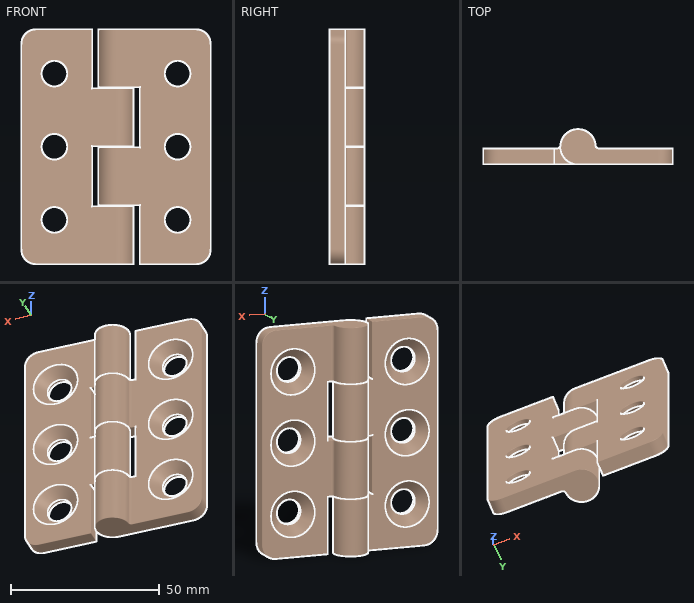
import cadquery as cq
height = 79.4
width = 64.0
knuckle_diameter = 12.0
leaf_thickness = 5.5

knuckle_count = 4
knuckle_gap = 0.3
knuckle_length = (height - (knuckle_count - 1) * knuckle_gap) / knuckle_count
knuckle_pitch = knuckle_length + knuckle_gap
knuckle_radius = knuckle_diameter / 2
root_fillet = 1.0

half_width = width / 2
corner_radius = 5.0
edge_round = 0.2
notch_edge = 8.0

hole_diameter = 8.6
hole_offset = 20.8
hole_pitch = 24.7
hole_rows = 3
countersink_diameter = 15.95
countersink_angle = 90

pin_diameter = 6.0
pin_end_cover = 5.0
pin_length = height - 2 * pin_end_cover

axis_y = knuckle_radius


def make_plate():
    """Right-hand plate, from the notch floor to the rounded outer edge."""
    plate = cq.Workplane("XY").box(
        half_width - notch_edge, leaf_thickness, height, centered=False
    )
    plate = plate.translate((notch_edge, 0, 0))
    return plate.edges("|Y and >X").fillet(corner_radius)


def make_knuckle(index):
    """Knuckle with the web that joins it to the right-hand plate."""
    bottom = index * knuckle_pitch
    barrel = cq.Workplane("XY").center(0, axis_y).circle(knuckle_radius).extrude(knuckle_length)
    web = cq.Workplane("XY").box(notch_edge, leaf_thickness, knuckle_length, centered=False)
    knuckle = barrel.union(web)
    root = cq.selectors.BoxSelector(
        (knuckle_radius - root_fillet, leaf_thickness - root_fillet, 0),
        (knuckle_radius + root_fillet, leaf_thickness + root_fillet, knuckle_length),
    )
    return knuckle.edges("|Z").edges(root).fillet(root_fillet).translate((0, 0, bottom))


def make_pin():
    """Plain round pin along the hinge axis."""
    pin = cq.Workplane("XY").center(0, axis_y).circle(pin_diameter / 2).extrude(pin_length)
    return pin.translate((0, 0, pin_end_cover))


def round_outer_edges(leaf):
    """Round every sharp outside edge; tangent lines and inside corners stay as they are."""
    outline_edges = leaf.edges("not(|Y or |Z)")
    plate_zone = cq.selectors.BoxSelector(
        (notch_edge - edge_round, -edge_round, -edge_round),
        (half_width + edge_round, leaf_thickness + edge_round, height + edge_round),
    )
    upright_edges = leaf.edges("|Z").edges(plate_zone)
    notch_corner = leaf.edges("|Y and <Z").edges("<X")
    return outline_edges.add(upright_edges).add(notch_corner).fillet(edge_round)


def cut_mounting_holes(leaf):
    """Column of through holes, centred on the height of the leaf and countersunk from the back."""
    back_face = cq.Plane(
        origin=(hole_offset, leaf_thickness, height / 2), xDir=(-1, 0, 0), normal=(0, 1, 0)
    )
    drilled = (
        leaf.copyWorkplane(cq.Workplane(back_face))
        .rarray(0.8, hole_pitch, 1, hole_rows)
        .cskHole(hole_diameter, countersink_diameter, countersink_angle)
    )
    hole_zone = cq.selectors.BoxSelector(
        (hole_offset - hole_diameter / 2, -edge_round, 0),
        (hole_offset + hole_diameter / 2, edge_round, height),
    )
    return drilled.faces("<Y").edges("%CIRCLE").edges(hole_zone).fillet(edge_round)


def make_right_leaf():
    """Leaf on the +X side, carrying every second knuckle up to the top one."""
    leaf = make_plate()
    for index in range(1, knuckle_count, 2):
        leaf = leaf.union(make_knuckle(index))
    leaf = round_outer_edges(leaf)
    leaf = cut_mounting_holes(leaf)
    return leaf.cut(make_pin())


def make_left_leaf():
    """The same leaf turned half a turn about the Y direction, so the knuckles interleave."""
    turn_start = (0, 0, height / 2)
    turn_end = (0, 1, height / 2)
    return make_right_leaf().rotate(turn_start, turn_end, 180)


right_leaf = make_right_leaf()
left_leaf = make_left_leaf()
pin = make_pin()

result = cq.Compound.makeCompound([right_leaf.val(), left_leaf.val(), pin.val()])